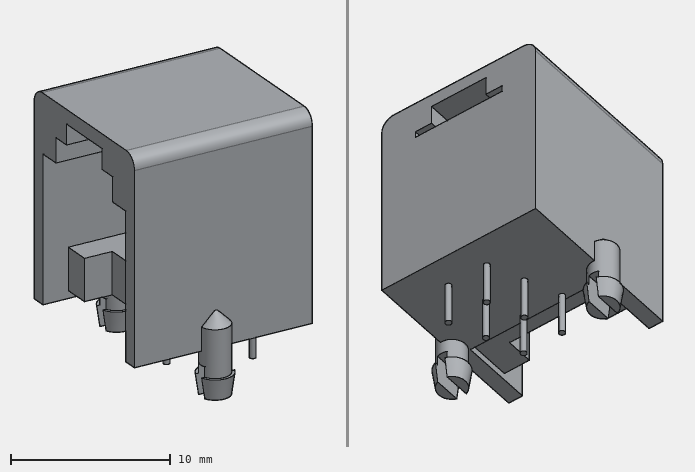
import cadquery as cq

width = 12.18
depth = 13.0
top_z = 17.75
bottom_z = 3.2
corner_radius = 1.0
front_y = -depth / 2
back_y = depth / 2

cavity_width = 10.01
shoulder_z = 13.56
key_width = 6.85
key_z = 15.3
latch_width = 4.3
latch_z = 16.74

wall_thickness = 1.95
wall_top_z = 14.82
floor_top_z = 6.73
floor_bottom_z = 3.75
floor_setback = 1.85
notch_width = 6.07
notch_depth = 2.02
base_setback = 5.32

pin_diameter = 0.45
pin_count = 6
pin_pitch = 1.01
row_count = 3
row_pitch = 2.54
front_row_y = -0.8

post_diameter = 2.1
post_x = 5.98
post_y = -0.55
post_shoulder_z = 4.85
post_tip_z = post_shoulder_z + post_diameter / 2
barb_diameter = 2.52
barb_z = 1.49
split_width = 0.75
split_z = 2.2


def block(size_x, y_start, y_end, z_start, z_end):
    """Box centred on X between the given Y and Z limits."""
    return cq.Workplane("XY").box(
        size_x, y_end - y_start, z_end - z_start, centered=(True, False, False)
    ).translate((0, y_start, z_start))


def make_shell():
    shell = block(width, front_y, back_y, bottom_z, top_z)
    shell = shell.edges("|Y and >Z").fillet(corner_radius)
    for step_width, step_z in (
        (cavity_width, shoulder_z),
        (key_width, key_z),
        (latch_width, latch_z),
    ):
        shell = shell.cut(block(step_width, front_y, back_y, bottom_z, step_z))
    return shell


def make_rear_wall():
    """Wall closing the back of the cavity, following its shoulder."""
    wall_y = back_y - wall_thickness
    lower = block(cavity_width, wall_y, back_y, bottom_z, shoulder_z)
    upper = block(key_width, wall_y, back_y, bottom_z, wall_top_z)
    return lower.union(upper)


def make_floor():
    """Floor with a notched front edge on a base that holds the pins."""
    floor_y = front_y + floor_setback
    floor = block(cavity_width, floor_y, back_y, floor_bottom_z, floor_top_z)
    notch = block(notch_width, floor_y, floor_y + notch_depth, floor_bottom_z, floor_top_z)
    base = block(cavity_width, front_y + base_setback, back_y, bottom_z, floor_bottom_z)
    return floor.cut(notch).union(base)


def make_pin(index):
    x = (index - (pin_count - 1) / 2) * pin_pitch
    y = front_row_y + (index % row_count) * row_pitch
    return cq.Workplane("XY").center(x, y).circle(pin_diameter / 2).extrude(floor_bottom_z)


def make_post(side):
    """Pointed post with a tapered barb, split lengthwise along Y."""
    radius = post_diameter / 2
    post = (
        cq.Workplane("XZ")
        .moveTo(0, 0)
        .lineTo(radius, 0)
        .lineTo(barb_diameter / 2, barb_z)
        .lineTo(radius, barb_z)
        .lineTo(radius, post_shoulder_z)
        .lineTo(0, post_tip_z)
        .close()
        .revolve(360, (0, 0), (0, 1))
    )
    split = block(split_width, -barb_diameter / 2, barb_diameter / 2, 0, split_z)
    return post.cut(split).translate((side * post_x, post_y, 0))


result = make_shell().union(make_rear_wall()).union(make_floor())
for pin_index in range(pin_count):
    result = result.union(make_pin(pin_index))
for post_side in (-1, 1):
    result = result.union(make_post(post_side))